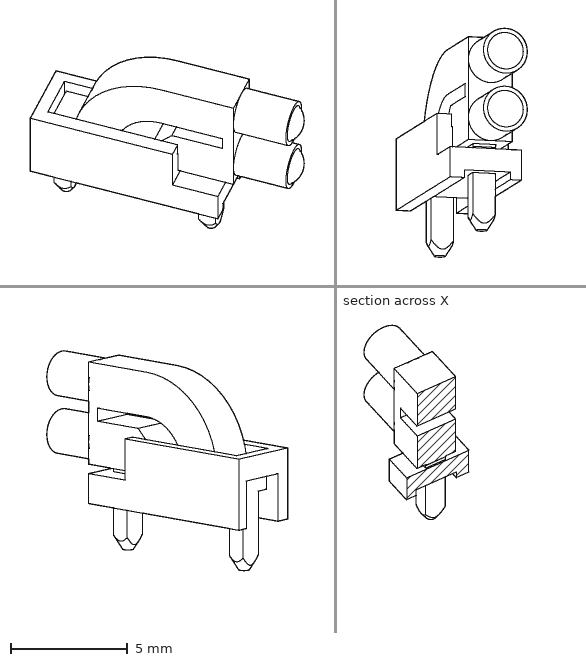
import cadquery as cq
import math

total_length = 11.85

holder_length = 8.58
holder_width = 3.18
holder_bottom = 2.1
holder_top = 5.21
wall_end_x = 6.5
step_z = 3.41
end_wall = 0.57
pocket_width = 2.04
insert_y = 0.07
notch_top = 4.18
floor_bottom = 2.43
floor_start_x = 1.9

guide_width = 1.95
guide_top = 8.15
guide_bottom = 3.67
guide_end_x = 9.04
leg_height = 1.95
bend_x = 5.72
bend_radius = 4.0
slot_end_x = 8.53
lower_leg_top = guide_bottom + leg_height
lower_leg_start_x = 6.22
base_top = 4.67
base_start_x = 0.65

dome_height = 0.41
dome_base_radius = 0.79

pin_length_x = 0.78
pin_width_y = 1.01
pin_centers_x = (base_start_x + pin_length_x / 2, 7.65)
pin_top = guide_bottom
tip_radius = 0.24
tip_slope = 0.63
neck_flare = 0.11


def block(x0, x1, width, z0, z1, y=0.0):
    """Box between two X and two Z values, centred on y."""
    box = cq.Workplane("XY").box(x1 - x0, width, z1 - z0, centered=(False, True, False))
    return box.translate((x0, y, z0))


def make_holder():
    body = block(0, wall_end_x, holder_width, holder_bottom, holder_top)
    body = body.union(block(wall_end_x, holder_length, holder_width, holder_bottom, step_z))
    pocket = block(end_wall, wall_end_x, pocket_width, holder_bottom, holder_top, insert_y)
    end_notch = block(0, end_wall, pocket_width, holder_bottom, notch_top, insert_y)
    channel = block(0, holder_length, pocket_width, holder_bottom, floor_bottom, insert_y)
    floor = block(floor_start_x, wall_end_x, pocket_width, floor_bottom, step_z, insert_y)
    return body.cut(pocket).cut(end_notch).cut(channel).union(floor)


def make_guide():
    bend_z = guide_top - bend_radius
    inner_radius = bend_radius - leg_height
    foot_z = (bend_z + base_top) / 2
    rise = foot_z - bend_z

    def arc_point(radius, angle):
        return (bend_x - radius * math.cos(angle), bend_z + radius * math.sin(angle))

    def foot_angle(radius):
        return math.asin(rise / radius)

    def middle_of_arc(radius):
        return arc_point(radius, (foot_angle(radius) + math.pi / 2) / 2)

    outer_foot = arc_point(bend_radius, foot_angle(bend_radius))
    inner_foot = arc_point(inner_radius, foot_angle(inner_radius))
    chamfer_drop = lower_leg_top - base_top
    guide = (
        cq.Workplane("XZ", origin=(0, insert_y, 0))
        .moveTo(*outer_foot)
        .threePointArc(middle_of_arc(bend_radius), (bend_x, guide_top))
        .lineTo(guide_end_x, guide_top)
        .lineTo(guide_end_x, guide_bottom)
        .lineTo(lower_leg_start_x - chamfer_drop, guide_bottom)
        .lineTo(lower_leg_start_x - chamfer_drop, base_top)
        .lineTo(lower_leg_start_x, lower_leg_top)
        .lineTo(slot_end_x, lower_leg_top)
        .lineTo(slot_end_x, guide_top - leg_height)
        .lineTo(bend_x, guide_top - leg_height)
        .threePointArc(middle_of_arc(inner_radius), inner_foot)
        .close()
        .extrude(guide_width / 2, both=True)
    )
    base = block(base_start_x, wall_end_x, pocket_width, step_z, base_top, insert_y)
    return guide.union(base)


def make_light_pipe(center_z):
    """Cylinder along X with a shallow dome at its free end."""
    shoulder_x = total_length - dome_height
    dome_radius = (dome_base_radius**2 + dome_height**2) / (2 * dome_height)
    half_angle = math.asin(dome_base_radius / dome_radius) / 2
    dome_middle = (
        total_length - dome_radius * (1 - math.cos(half_angle)),
        dome_radius * math.sin(half_angle),
    )
    return (
        cq.Workplane("XY")
        .moveTo(guide_end_x, 0)
        .lineTo(guide_end_x, leg_height / 2)
        .lineTo(shoulder_x, leg_height / 2)
        .lineTo(shoulder_x, dome_base_radius)
        .threePointArc(dome_middle, (total_length, 0))
        .close()
        .revolve(360, (0, 0, 0), (1, 0, 0))
        .translate((0, insert_y, center_z))
    )


def make_pin(center_x):
    """Rectangular pin whose tip is trimmed by a cone."""
    pin = cq.Workplane("XY").box(pin_length_x, pin_width_y, pin_top, centered=(True, True, False))
    cone = (
        cq.Workplane("XZ")
        .polyline([(0, 0), (tip_radius, 0), (tip_radius + tip_slope * pin_top, pin_top), (0, pin_top)])
        .close()
        .revolve(360, (0, 0, 0), (0, 1, 0))
    )
    return pin.intersect(cone).translate((center_x, insert_y, 0))


def make_neck():
    """Flare where the second pin meets the underside of the light guide."""
    half = pin_length_x / 2
    flare_z = guide_bottom - neck_flare
    top_half = half + neck_flare
    return (
        cq.Workplane("XZ", origin=(pin_centers_x[1], insert_y, 0))
        .polyline([(-half, flare_z), (half, flare_z), (top_half, guide_bottom), (-top_half, guide_bottom)])
        .close()
        .extrude(pin_width_y / 2, both=True)
    )


result = make_holder().union(make_guide()).union(make_neck())
for pipe_z in (guide_bottom + leg_height / 2, guide_top - leg_height / 2):
    result = result.union(make_light_pipe(pipe_z))
for pin_x in pin_centers_x:
    result = result.union(make_pin(pin_x))